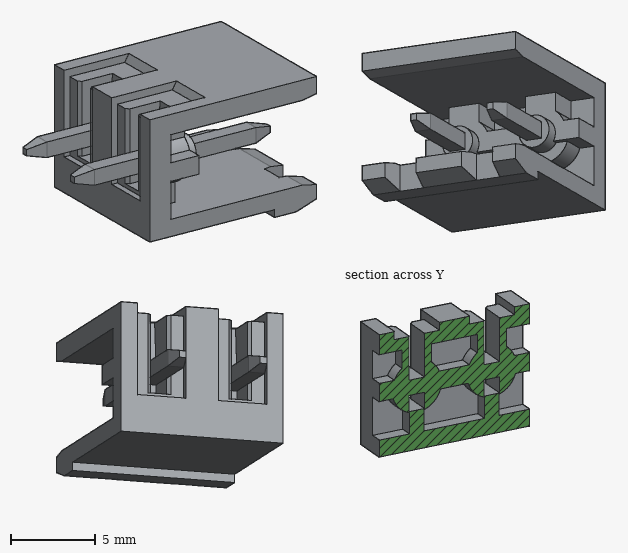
import cadquery as cq


total_length = 15.75
width = 10.16
height = 8.38
depth = 11.92
front_wall = 1.5
top_wall = 1.3
bottom_wall = 1.12
lip_drop = 0.5
lip_length = 3.01
lip_lead_in = 1.46
lead_in = 1.01
lead_in_rise = 0.2

pitch = 5.07
pin_xs = (-pitch / 2, pitch / 2)
pin_size = 1.01
pin_z = 4.57
pin_tail = total_length - depth
pin_reach = 10.19
taper_length = 1.25
tip_size = 0.41

upper_depth = 2.02
lower_depth = 1.65
boss_radius = 1.69
collar_radius = 1.0
collar_end = 4.36
upper_rib_bottom = 1.35
lower_rib_top = 1.6
bar_top = 0.7

recess_width = 3.02
recess_back = 4.63
recess_floor_drop = 0.5
recess_face_depth = 0.41
recess_back_slope = 0.3
recess_bottom_z = 2.8
slot_bottom_z = 3.05
slot_back_top = 2.79
slot_back_bottom = 2.54
slot_flare = 0.2
slot_flare_depth = 0.2

notch_depth = 1.5
notch_mouth = 2.08
notch_root = 1.55

inner_bottom = lip_drop + bottom_wall
inner_top = height - top_wall
pin_bottom = pin_z - pin_size / 2
pin_top = pin_z + pin_size / 2
recess_floor_z = height - recess_floor_drop


def box(x_range, y_range, z_range):
    """Box spanning the given ranges."""
    (x0, x1), (y0, y1), (z0, z1) = x_range, y_range, z_range
    return cq.Workplane("XY").box(x1 - x0, y1 - y0, z1 - z0, centered=False).translate((x0, y0, z0))


def side_prism(points, x, prism_width):
    """Outline of (Y, Z) points, extruded along X and centred on x."""
    return cq.Workplane("YZ", origin=(x, 0, 0)).polyline(points).close().extrude(prism_width / 2, both=True)


def plan_prism(points, x, bottom, top):
    """Outline of (X, Y) points about x, extruded from bottom to top."""
    return cq.Workplane("XY", origin=(x, 0, bottom)).polyline(points).close().extrude(top - bottom)


def rod(x, radius, end):
    """Cylinder on the pin axis, from inside the front wall to end."""
    return cq.Workplane("XZ", origin=(x, front_wall, pin_z)).circle(radius).extrude(front_wall - end)


def make_shell():
    outline = [
        (0, lip_drop),
        (0, height),
        (depth, height),
        (depth, inner_top + lead_in_rise),
        (depth - lead_in, inner_top),
        (front_wall, inner_top),
        (front_wall, inner_bottom),
        (depth - lead_in, inner_bottom),
        (depth, inner_bottom - lead_in_rise),
        (depth, lip_drop),
        (depth - lip_lead_in, 0),
        (depth - lip_length, 0),
        (depth - lip_length, lip_drop),
    ]
    return side_prism(outline, 0, width)


def make_bar():
    """Cross bar joining the two bosses and reaching both sides."""
    y_range = (front_wall, front_wall + upper_depth)
    return box((-width / 2, width / 2), y_range, (pin_bottom, pin_z + bar_top))


def make_boss(x):
    """Boss around the pin with ribs to the top and bottom walls; its lower part is shorter."""
    upper_end = front_wall + upper_depth
    lower_end = front_wall + lower_depth
    upper_half = (boss_radius**2 - upper_rib_bottom**2) ** 0.5
    lower_half = (boss_radius**2 - lower_rib_top**2) ** 0.5
    boss = rod(x, boss_radius, upper_end)
    boss = boss.union(box((x - upper_half, x + upper_half), (front_wall, upper_end), (pin_z, inner_top)))
    boss = boss.union(box((x - lower_half, x + lower_half), (front_wall, upper_end), (inner_bottom, pin_z)))
    step_x = (x - boss_radius, x + boss_radius)
    boss = boss.cut(box(step_x, (lower_end, upper_end), (inner_bottom, pin_bottom)))
    return boss.union(rod(x, collar_radius, collar_end))


def make_recess(x):
    """Shallow channel running from the top face down the front face."""
    channel = [
        (0, recess_bottom_z),
        (recess_face_depth, recess_bottom_z),
        (recess_face_depth, recess_floor_z),
        (recess_back - recess_back_slope, recess_floor_z),
        (recess_back, height),
        (0, height),
    ]
    return side_prism(channel, x, recess_width)


def make_slot(x):
    """Slot as wide as the pin, with a sloped back above it and flared sides at its mouth."""
    side = [
        (0, slot_bottom_z),
        (slot_back_bottom, slot_bottom_z),
        (slot_back_bottom, pin_top),
        (slot_back_top, recess_floor_z),
        (0, recess_floor_z),
    ]
    inner = pin_size / 2
    outer = inner + slot_flare
    flare = [
        (-outer, recess_face_depth),
        (outer, recess_face_depth),
        (inner, recess_face_depth + slot_flare_depth),
        (-inner, recess_face_depth + slot_flare_depth),
    ]
    return side_prism(side, x, pin_size).union(plan_prism(flare, x, slot_bottom_z, recess_floor_z))


def make_notch(x):
    """Tapered notch through the rear edge of the bottom wall."""
    root_y = depth - notch_depth
    outline = [
        (-notch_mouth / 2, depth),
        (notch_mouth / 2, depth),
        (notch_root / 2, root_y),
        (-notch_root / 2, root_y),
    ]
    return plan_prism(outline, x, 0, inner_bottom)


def make_taper(x, start, end):
    """Pyramid frustum from the full pin section at start to the tip at end."""
    section = cq.Workplane("XZ", origin=(x, start, pin_z)).rect(pin_size, pin_size)
    return section.workplane(offset=start - end).rect(tip_size, tip_size).loft(combine=True)


def make_pin(x):
    half = pin_size / 2
    front = taper_length - pin_tail
    rear = pin_reach - taper_length
    shank = box((x - half, x + half), (front, rear), (pin_bottom, pin_top))
    return shank.union(make_taper(x, front, -pin_tail)).union(make_taper(x, rear, pin_reach))


result = make_shell().union(make_bar())
for pin_x in pin_xs:
    result = result.union(make_boss(pin_x))
    result = result.cut(make_recess(pin_x))
    result = result.cut(make_slot(pin_x))
    result = result.cut(make_notch(pin_x))
    result = result.union(make_pin(pin_x))